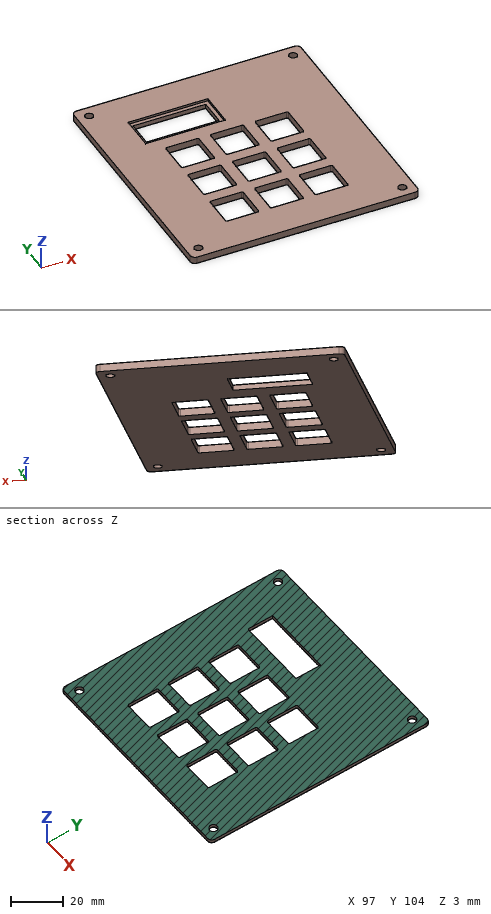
import cadquery as cq

PLATE_WIDTH = 96.99
PLATE_LENGTH = 103.97
PLATE_THICKNESS = 3.0
PLATE_CORNER_RADIUS = 2.0

MOUNT_HOLE_DIAMETER = 3.4
MOUNT_HOLE_INSET = 5.0

KEYS_PER_SIDE = 3
KEY_PITCH = 19.05
KEY_OPENING = 14.1
KEY_CORNER_RADIUS = 0.6
KEY_GRID_CENTER = (-0.38, -10.38)

WINDOW_WIDTH = 31.0
WINDOW_HEIGHT = 11.5
WINDOW_CENTER = (-15.2, 29.3)
RECESS_WIDTH = 34.0
RECESS_HEIGHT = 15.2
RECESS_CENTER = (-15.0, 29.1)
RECESS_DEPTH = 1.0


def make_plate():
    """Flat plate with rounded vertical corners."""
    plate = cq.Workplane("XY").box(
        PLATE_WIDTH, PLATE_LENGTH, PLATE_THICKNESS, centered=(True, True, False)
    )
    return plate.edges("|Z").fillet(PLATE_CORNER_RADIUS)


def make_mount_holes():
    """Cutters for the four corner mounting holes."""
    spacing_x = PLATE_WIDTH - 2 * MOUNT_HOLE_INSET
    spacing_y = PLATE_LENGTH - 2 * MOUNT_HOLE_INSET
    return (
        cq.Workplane("XY")
        .rarray(spacing_x, spacing_y, 2, 2)
        .circle(MOUNT_HOLE_DIAMETER / 2)
        .extrude(PLATE_THICKNESS)
    )


def make_key_openings():
    """Cutters for the grid of rounded square key openings."""
    return (
        cq.Workplane("XY")
        .center(*KEY_GRID_CENTER)
        .rarray(KEY_PITCH, KEY_PITCH, KEYS_PER_SIDE, KEYS_PER_SIDE)
        .rect(KEY_OPENING, KEY_OPENING)
        .extrude(PLATE_THICKNESS)
        .edges("|Z")
        .fillet(KEY_CORNER_RADIUS)
    )


def make_display_window():
    """Cutter for the through window and the recess in the top face."""
    window = (
        cq.Workplane("XY")
        .center(*WINDOW_CENTER)
        .rect(WINDOW_WIDTH, WINDOW_HEIGHT)
        .extrude(PLATE_THICKNESS)
    )
    recess = (
        cq.Workplane("XY", origin=(0, 0, PLATE_THICKNESS))
        .center(*RECESS_CENTER)
        .rect(RECESS_WIDTH, RECESS_HEIGHT)
        .extrude(-RECESS_DEPTH)
    )
    return window.union(recess)


result = (
    make_plate()
    .cut(make_mount_holes())
    .cut(make_key_openings())
    .cut(make_display_window())
)